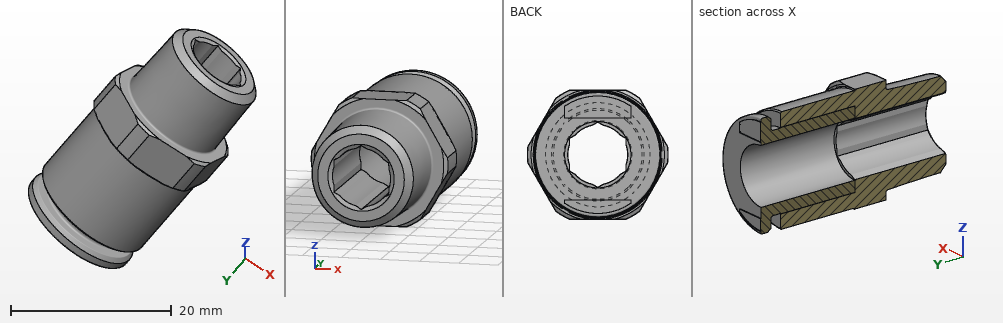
import cadquery as cq
import math


total_length = 29.45
hex_front = 9.48
hex_length = 5.0
hex_rear = hex_front + hex_length
housing_rear = 26.25
flange_front = 27.68
pad_height = 0.12
flange_rear = total_length - pad_height

barrel_radius = 7.9
barrel_chamfer = 0.18
hex_across_flats = 16.05
barrel_fillet = hex_across_flats / 2 - barrel_radius
hex_corner_radius = 8.75
hex_face_radius = 8.28
hex_chamfer_depth = (hex_corner_radius - hex_face_radius) * math.tan(math.radians(30))
thread_root_radius = 6.75
thread_fillet = 0.27
thread_taper = 1 / 32
thread_end_radius = 5.55
thread_chamfer_depth = 0.88
thread_start = hex_front - thread_fillet
thread_tip_radius = thread_root_radius - thread_taper * (thread_start - thread_chamfer_depth)

key_across_flats = 7.0
key_relief_radius = 3.7
key_entry_radius = 4.25
key_entry_depth = 0.27

neck_radius = 5.75
neck_fillet = 0.3
flange_radius = 7.77
flange_rear_fillet = 0.25
flange_bevel_depth = 0.6
flange_bevel_width = 0.45
flange_bevel_fillet = 0.15
tube_radius = 4.12

pad_width = 8.25
pad_outer_radius = 7.3
upper_pad_inner_height = 4.6
lower_pad_inner_height = 5.6


def cylinder(radius, start, end):
    """A cylinder on the Y axis between two stations."""
    return cq.Workplane("XZ", origin=(0, start, 0)).circle(radius).extrude(start - end)


def hexagon(across_flats, start, end, turn=0):
    """A hexagonal prism on the Y axis, with corners on +X and -X before it is turned."""
    corner_diameter = across_flats / math.cos(math.pi / 6)
    prism = cq.Workplane("XZ", origin=(0, start, 0)).polygon(6, corner_diameter).extrude(start - end)
    return prism.rotate((0, 0, 0), (0, 1, 0), turn)


def revolve_profile(profile):
    """Revolves a closed (radius, station) profile about the Y axis."""
    return profile.close().revolve(360, (0, 0, 0), (0, 1, 0))


def make_hex_nut():
    """Hexagon with cylindrical corners and 30-degree chamfers on both faces."""
    envelope = revolve_profile(
        cq.Workplane("XY")
        .moveTo(0, hex_front)
        .lineTo(hex_face_radius, hex_front)
        .lineTo(hex_corner_radius, hex_front + hex_chamfer_depth)
        .lineTo(hex_corner_radius, hex_rear - hex_chamfer_depth)
        .lineTo(hex_face_radius, hex_rear)
        .lineTo(0, hex_rear)
    )
    return hexagon(hex_across_flats, hex_front, hex_rear).intersect(envelope)


def make_turned_body():
    """Tapered thread blank and rear barrel, each with a concave fillet at the hexagon."""
    return revolve_profile(
        cq.Workplane("XY")
        .lineTo(thread_end_radius, 0)
        .lineTo(thread_tip_radius, thread_chamfer_depth)
        .lineTo(thread_root_radius, thread_start)
        .radiusArc((thread_root_radius + thread_fillet, hex_front), thread_fillet)
        .lineTo(barrel_radius + barrel_fillet, hex_rear)
        .radiusArc((barrel_radius, hex_rear + barrel_fillet), barrel_fillet)
        .lineTo(barrel_radius, housing_rear - barrel_chamfer)
        .lineTo(barrel_radius - barrel_chamfer, housing_rear)
        .lineTo(0, housing_rear)
    )


def make_key_bore():
    """Hexagon key socket with a round relief and a conical entry."""
    socket = hexagon(key_across_flats, 0, hex_rear, turn=30)
    relief = cylinder(key_relief_radius, 0, hex_rear)
    entry = revolve_profile(
        cq.Workplane("XY")
        .lineTo(key_entry_radius, 0)
        .lineTo(key_relief_radius, key_entry_depth)
        .lineTo(0, key_entry_depth)
    )
    return socket.union(relief).union(entry)


def make_housing():
    sleeve_socket = cylinder(neck_radius, hex_rear, housing_rear)
    solid = make_turned_body().union(make_hex_nut())
    return solid.cut(make_key_bore()).cut(sleeve_socket)


def make_marking_pad(direction, inner_height):
    """Raised pad on the flange, above (+1) or below (-1) the tube opening."""
    height = pad_outer_radius - inner_height
    middle = direction * (inner_height + height / 2)
    block = cq.Workplane("XY").box(pad_width, 2 * pad_height, height).translate((0, flange_rear, middle))
    return block.intersect(cylinder(pad_outer_radius, flange_rear - pad_height, total_length))


def make_sleeve():
    """Tubular release sleeve with a bevelled flange and two marking pads."""
    sleeve = cylinder(flange_radius, flange_front, flange_rear)
    sleeve = sleeve.faces("<Y").chamfer(flange_bevel_depth, flange_bevel_width)
    sleeve = sleeve.faces("<Y").edges().fillet(flange_bevel_fillet)
    sleeve = sleeve.faces(">Y").edges().fillet(flange_rear_fillet)
    neck = revolve_profile(
        cq.Workplane("XY")
        .moveTo(0, hex_rear)
        .lineTo(neck_radius, hex_rear)
        .lineTo(neck_radius, flange_front - neck_fillet)
        .radiusArc((neck_radius + neck_fillet, flange_front), neck_fillet)
        .lineTo(0, flange_front)
    )
    sleeve = sleeve.union(neck).cut(cylinder(tube_radius, hex_rear, flange_rear))
    for direction, inner_height in ((1, upper_pad_inner_height), (-1, lower_pad_inner_height)):
        sleeve = sleeve.union(make_marking_pad(direction, inner_height))
    return sleeve


housing = make_housing()
sleeve = make_sleeve()

result = cq.Compound.makeCompound([housing.val(), sleeve.val()])